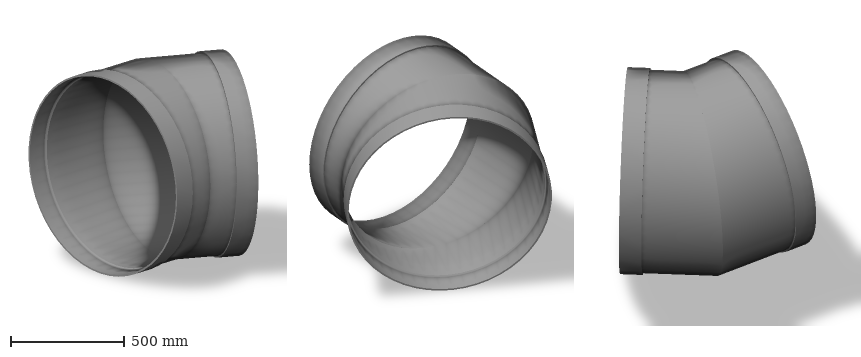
import cadquery as cq
import math

bend_angle = 30.0
pipe_diameter = 900.0
wall = 7.9
bore_diameter = 884.0
leg_length = 339.0
collar_length = 99.0
socket_depth = collar_length - wall

pipe_radius = pipe_diameter / 2
bore_radius = bore_diameter / 2
collar_radius = pipe_radius + wall
mitre_angle = math.radians(bend_angle / 2)
mitre_rise = pipe_radius * math.tan(mitre_angle)
blank_length = leg_length + 2 * mitre_rise

mitre_center = cq.Vector(0, leg_length, 0)
mitre_normal = cq.Vector(math.sin(mitre_angle), math.cos(mitre_angle), 0)


def make_blank():
    """Untrimmed socketed pipe around the Y axis, with its mouth at Y = 0."""
    profile = [
        (pipe_radius, 0),
        (collar_radius, 0),
        (collar_radius, collar_length),
        (pipe_radius, collar_length),
        (pipe_radius, blank_length),
        (bore_radius, blank_length),
        (bore_radius, collar_length),
        (pipe_radius, socket_depth),
    ]
    return cq.Workplane("XY").polyline(profile).close().revolve(360, (0, 0), (0, 1))


def make_lower_half():
    """Socketed pipe trimmed on the mitre plane."""
    mitre_plane = cq.Plane(origin=mitre_center, xDir=(0, 0, 1), normal=mitre_normal)
    cutter_side = 4 * collar_radius
    cutter = cq.Workplane(mitre_plane).rect(cutter_side, cutter_side).extrude(blank_length)
    return make_blank().cut(cutter)


def make_upper_half(lower):
    """Mirror image of the lower half across the mitre plane."""
    return lower.mirror(mitre_normal, mitre_center)


lower_half = make_lower_half()
upper_half = make_upper_half(lower_half)

result = cq.Compound.makeCompound([lower_half.val(), upper_half.val()])